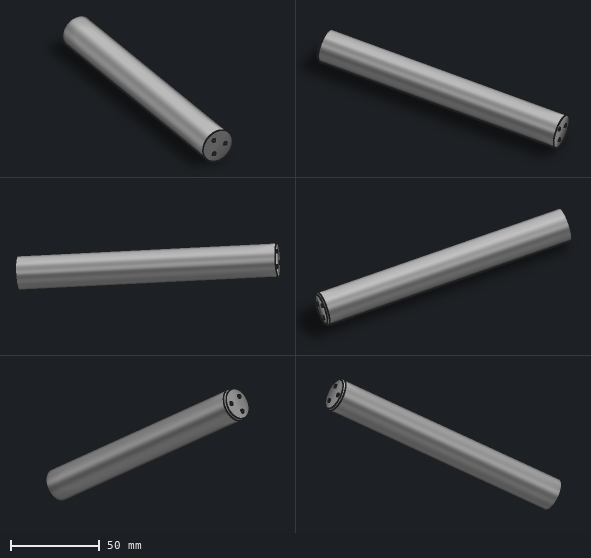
import cadquery as cq
import math

length = 150.0
diameter = 20.0
chamfer = 1.0

channel_count = 3
channel_diameter = 2.0
channel_circle_radius = 5.1
first_channel_angle = 103.5
helix_angle = 30.0

helix_pitch = math.pi * diameter / math.tan(math.radians(helix_angle))
twist = 360 * length / helix_pitch
chamfered_end = cq.Workplane("YZ", origin=(-length / 2, 0, 0))


def make_rod():
    return chamfered_end.circle(diameter / 2).extrude(length).faces("<X").chamfer(chamfer)


def make_channel(start_angle):
    """Right-handed helical cutter starting at the given angle."""
    center_y = channel_circle_radius * math.cos(math.radians(start_angle))
    center_z = channel_circle_radius * math.sin(math.radians(start_angle))
    return (
        chamfered_end
        .moveTo(center_y, center_z)
        .circle(channel_diameter / 2)
        .twistExtrude(length, twist)
    )


result = make_rod()
for index in range(channel_count):
    angle = first_channel_angle + index * 360 / channel_count
    result = result.cut(make_channel(angle))